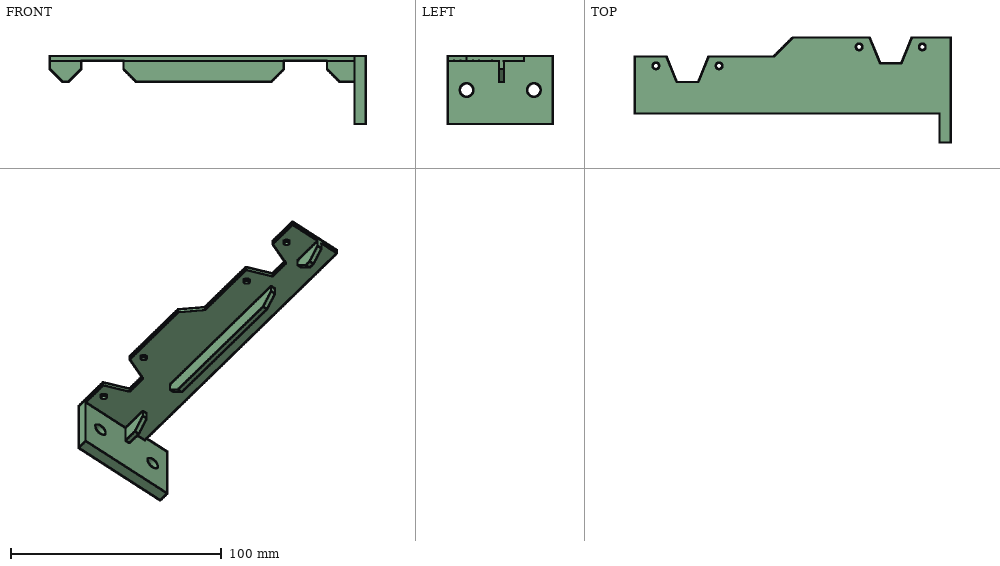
import cadquery as cq

length = 150.0
width = 50.0
height = 32.4

shelf_thickness = 2.4
flange_thickness = 5.4
shelf_front_y = 13.8
step_depth = 9.0
shelf_low_back_y = width - step_depth
step_start_x = 66.0

notch_depth = 12.2
notch_mouth = 20.0
notch_floor = 10.0
low_notch_center_x = 25.0
high_notch_center_x = 121.5

small_hole_diameter = 3.0
small_hole_inset = 4.5
low_hole_xs = (10.0, 40.0)
high_hole_xs = (106.5, 136.5)

bolt_diameter = 6.3
bolt_edge_distance = 9.0
bolt_z = 16.2

rib_thickness = 2.4
rib_center_y = 24.5
rib_depth = 9.9
rib_chamfer = 6.0
rib_spans = ((0.0, 15.0), (35.0, 111.2))
last_rib_start_x = 131.5

flange_x = length - flange_thickness
shelf_bottom_z = height - shelf_thickness
rib_bottom_z = shelf_bottom_z - rib_depth
rib_shoulder_z = rib_bottom_z + rib_chamfer


def notch_points(center_x, edge_y):
    """Corners of a notch, from left to right along the back edge."""
    floor_y = edge_y - notch_depth
    return [
        (center_x - notch_mouth / 2, edge_y),
        (center_x - notch_floor / 2, floor_y),
        (center_x + notch_floor / 2, floor_y),
        (center_x + notch_mouth / 2, edge_y),
    ]


def make_shelf():
    outline = [
        (0, shelf_front_y),
        (0, shelf_low_back_y),
        *notch_points(low_notch_center_x, shelf_low_back_y),
        (step_start_x, shelf_low_back_y),
        (step_start_x + step_depth, width),
        *notch_points(high_notch_center_x, width),
        (length, width),
        (length, shelf_front_y),
    ]
    hole_centers = [(x, shelf_low_back_y - small_hole_inset) for x in low_hole_xs]
    hole_centers += [(x, width - small_hole_inset) for x in high_hole_xs]
    plate = cq.Workplane("XY", origin=(0, 0, shelf_bottom_z)).polyline(outline).close()
    holes = (
        cq.Workplane("XY", origin=(0, 0, shelf_bottom_z))
        .pushPoints(hole_centers)
        .circle(small_hole_diameter / 2)
        .extrude(shelf_thickness)
    )
    return plate.extrude(shelf_thickness).cut(holes)


def make_flange():
    plate = cq.Workplane("XY").box(flange_thickness, width, height, centered=False)
    bolt_holes = (
        cq.Workplane("YZ")
        .pushPoints([(bolt_edge_distance, bolt_z), (width - bolt_edge_distance, bolt_z)])
        .circle(bolt_diameter / 2)
        .extrude(flange_thickness)
    )
    return plate.cut(bolt_holes).translate((flange_x, 0, 0))


def make_rib(outline):
    """Extrude an XZ rib outline symmetrically about the rib's center plane."""
    plane = cq.Workplane("XZ", origin=(0, rib_center_y, 0))
    return plane.polyline(outline).close().extrude(rib_thickness / 2, both=True)


def free_rib_outline(start_x, end_x):
    return [
        (start_x, shelf_bottom_z),
        (start_x, rib_shoulder_z),
        (start_x + rib_chamfer, rib_bottom_z),
        (end_x - rib_chamfer, rib_bottom_z),
        (end_x, rib_shoulder_z),
        (end_x, shelf_bottom_z),
    ]


last_rib_outline = [
    (last_rib_start_x, shelf_bottom_z),
    (last_rib_start_x, rib_shoulder_z),
    (last_rib_start_x + rib_chamfer, rib_bottom_z),
    (flange_x, rib_bottom_z),
    (flange_x, shelf_bottom_z),
]

result = make_shelf().union(make_flange()).union(make_rib(last_rib_outline))
for rib_start_x, rib_end_x in rib_spans:
    result = result.union(make_rib(free_rib_outline(rib_start_x, rib_end_x)))